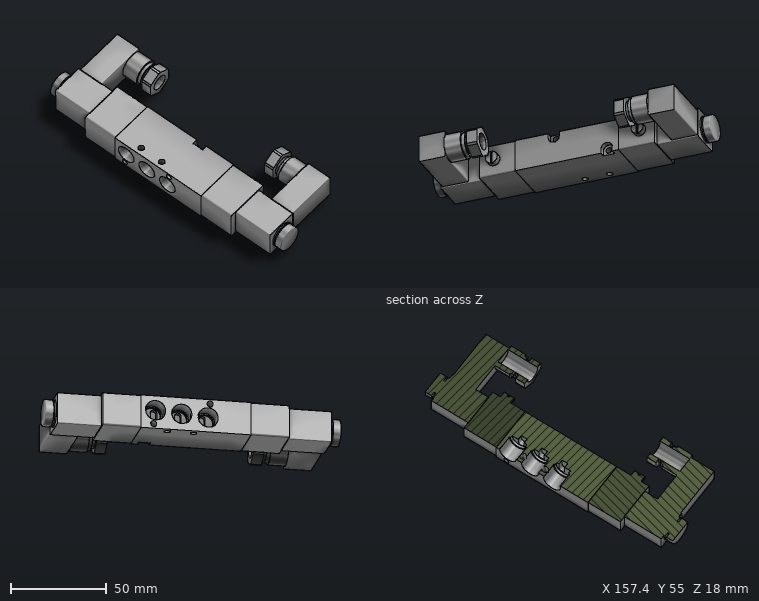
import cadquery as cq


overall_length = 157.4

body_length = 58.6
body_depth = 26.6
body_height = 18.0

port_pitch = 14.0
port_middle_x = -7.6
port_stagger_z = 1.0
port_diameter = 10.6
port_bore_depth = 9.0
port_step_diameter = 9.2
port_step_depth = 1.5
port_depth = port_bore_depth + port_step_depth
slot_width = 3.4
slot_height = 7.9
slot_depth = 2.8
slot_shift_x = 1.1
slot_stagger_z = 0.8

mount_hole_diameter = 3.2
mount_hole_offset_x = 15.0
mount_hole_offset_z = 6.5
head_recess_width = 6.3
head_recess_depth = 3.1
cross_hole_diameter = 3.3
cross_hole_spacing = port_pitch
cross_hole_y = 3.8

end_block_length = 20.4
end_block_front_y = 0.2
end_block_edge_radius = 1.0
button_x = 41.4
button_diameter = 6.8
button_height = 3.4
button_slot_width = 1.0
button_slot_depth = 1.1

coil_start_x = body_length / 2 + end_block_length
coil_end_x = 73.0
coil_width = 18.9
coil_height = 17.0
coil_middle_y = 13.35
coil_back_y = coil_middle_y + coil_width / 2
coil_edge_radius = 0.5
knob_end_x = overall_length / 2
knob_flange_thickness = 0.8
knob_groove_width = 0.7
knob_groove_diameter = 9.0
knob_diameter = 14.3
knob_edge_radius = 0.5

connector_inner_x = 57.6
connector_outer_x = 72.5
connector_back_y = 53.2
connector_height = 15.0
connector_edge_radius = 0.6
gland_y = 47.5
gland_diameter = 15.0
gland_length = 9.3
collar_diameter = 13.0
collar_length = 1.9
neck_diameter = 10.6
neck_length = 1.8
nut_across_flats = gland_diameter
nut_corner_diameter = 16.6
nut_length = 5.8
cable_bore_diameter = 9.0


def cylinder_x(start_x, length, diameter, y):
    """Cylinder along +X at mid height."""
    circle = cq.Workplane("YZ", origin=(start_x, y, 0)).circle(diameter / 2)
    return circle.extrude(length)


def cylinder_y(start_y, length, diameter, x, z):
    """Cylinder along +Y."""
    circle = cq.Workplane("XZ", origin=(x, start_y, z)).circle(diameter / 2)
    return circle.extrude(-length)


def make_port(column):
    """Stepped round port with a slot in its floor; column is -1, 0 or 1."""
    x = port_middle_x + column * port_pitch
    z = -column * port_stagger_z
    bore = cylinder_y(0, port_bore_depth, port_diameter, x, z)
    step = cylinder_y(port_bore_depth, port_step_depth, port_step_diameter, x, z)
    slot_origin = (x - column * slot_shift_x, port_depth, -column * slot_stagger_z)
    slot = cq.Workplane("XZ", origin=slot_origin).slot2D(slot_height, slot_width, 90).extrude(-slot_depth)
    return bore.union(step).union(slot)


def make_mount_hole(side):
    """Through hole along Y with a U-shaped screw-head recess at the back.

    The recess runs out through the top (side 1) or the bottom (side -1).
    """
    x = port_middle_x + side * mount_hole_offset_x
    z = side * mount_hole_offset_z
    recess_y = body_depth - head_recess_depth
    hole = cylinder_y(0, body_depth, mount_hole_diameter, x, z)
    recess = cylinder_y(recess_y, head_recess_depth, head_recess_width, x, z)
    runout = (
        cq.Workplane("XY", origin=(x, recess_y + head_recess_depth / 2, z))
        .rect(head_recess_width, head_recess_depth).extrude(side * head_recess_width)
    )
    return hole.union(recess).union(runout)


def make_valve_body():
    """Central block with three ports, two mounting holes and two cross holes."""
    body = cq.Workplane("XY").box(body_length, body_depth, body_height, centered=(True, False, True))
    for column in (-1, 0, 1):
        body = body.cut(make_port(column))
    for side in (-1, 1):
        body = body.cut(make_mount_hole(side))
        cross_hole_x = port_middle_x + side * cross_hole_spacing / 2
        cross_hole = cq.Workplane("XY", origin=(cross_hole_x, cross_hole_y, 0))
        body = body.cut(cross_hole.circle(cross_hole_diameter / 2).extrude(body_height / 2, both=True))
    return body


def make_end_block():
    """End block on the +X side with its slotted override button on the back face."""
    block = (
        cq.Workplane("XY", origin=(body_length / 2, end_block_front_y, 0))
        .box(end_block_length, body_depth - end_block_front_y, body_height,
             centered=(False, False, True))
        .edges("|X").fillet(end_block_edge_radius)
    )
    button = (
        cq.Workplane("XZ", origin=(button_x, body_depth, 0))
        .circle(button_diameter / 2).extrude(-button_height)
    )
    slot = (
        cq.Workplane("XY", origin=(button_x, body_depth + button_height, 0))
        .box(button_slot_width, 2 * button_slot_depth, button_diameter)
    )
    return block.union(button.cut(slot))


def make_knob():
    """Round knob on the outer end of the coil, set off by a groove."""
    flange = cylinder_x(coil_end_x, knob_flange_thickness, knob_diameter, coil_middle_y)
    groove_x = coil_end_x + knob_flange_thickness
    groove = cylinder_x(groove_x, knob_groove_width, knob_groove_diameter, coil_middle_y)
    disc_x = groove_x + knob_groove_width
    disc = cylinder_x(disc_x, knob_end_x - disc_x, knob_diameter, coil_middle_y)
    return flange.union(groove).union(disc.faces(">X").edges().fillet(knob_edge_radius))


def make_gland():
    """Stepped cable gland pointing toward -X, ending in a bored hex nut."""
    collar_x = connector_inner_x - gland_length - collar_length
    neck_x = collar_x - neck_length
    nut_x = neck_x - nut_length
    gland = cylinder_x(collar_x + collar_length, gland_length, gland_diameter, gland_y)
    collar = cylinder_x(collar_x, collar_length, collar_diameter, gland_y)
    neck = cylinder_x(neck_x, neck_length, neck_diameter, gland_y)
    hexagon = (
        cq.Workplane("YZ", origin=(nut_x, gland_y, 0))
        .polygon(6, nut_across_flats, circumscribed=True).extrude(nut_length)
    )
    nut = hexagon.intersect(cylinder_x(nut_x, nut_length, nut_corner_diameter, gland_y))
    bore = cylinder_x(nut_x, connector_inner_x - nut_x, cable_bore_diameter, gland_y)
    return gland.union(collar).union(neck).union(nut).cut(bore)


def make_solenoid():
    """Coil on the +X side with its knob, connector and cable gland."""
    coil = (
        cq.Workplane("XY", origin=(coil_start_x, coil_middle_y, 0))
        .box(coil_end_x - coil_start_x, coil_width, coil_height, centered=(False, True, True))
        .edges("|X").fillet(coil_edge_radius)
    )
    connector = (
        cq.Workplane("XY", origin=(connector_inner_x, coil_back_y, 0))
        .box(connector_outer_x - connector_inner_x, connector_back_y - coil_back_y, connector_height,
             centered=(False, False, True))
        .edges("|Y").fillet(connector_edge_radius)
    )
    return coil.union(make_knob()).union(connector).union(make_gland())


bodies = [make_valve_body().val()]
for make_end_part in (make_end_block, make_solenoid):
    end_part = make_end_part()
    bodies.append(end_part.val())
    bodies.append(end_part.mirror("YZ").val())

result = cq.Compound.makeCompound(bodies)